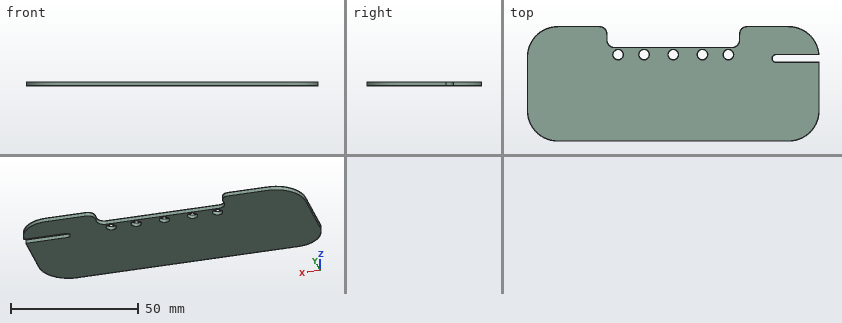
import cadquery as cq

length = 114.5
width = 45.0
thickness = 1.6
corner_radius = 12.0

notch_length = 52.0
notch_depth = 8.2
notch_radius = 3.0

hole_diameter = 4.0
hole_row_y = 11.5
inner_hole_x = 11.5
outer_hole_x = 21.6

slot_width = 3.0
slot_end_x = 38.8
slot_y = 10.0


def make_plate():
    plate = cq.Workplane("XY").box(length, width, thickness, centered=(True, True, False))
    return plate.edges("|Z").fillet(corner_radius)


def cut_notch(plate):
    """Cut the notch and round its four vertical edges."""
    floor_y = width / 2 - notch_depth
    cutter = (
        cq.Workplane("XY")
        .center(0, floor_y + notch_depth / 2)
        .rect(notch_length, notch_depth)
        .extrude(thickness)
    )
    margin = 1.1
    notch_edges = cq.selectors.BoxSelector(
        (-notch_length / 2 - margin, floor_y - margin, -margin),
        (notch_length / 2 + margin, width / 2 + margin, thickness + margin),
    )
    return plate.cut(cutter).edges("|Z").edges(notch_edges).fillet(notch_radius)


def make_holes():
    hole_positions = [
        (x, hole_row_y)
        for x in (-outer_hole_x, -inner_hole_x, 0, inner_hole_x, outer_hole_x)
    ]
    return cq.Workplane("XY").pushPoints(hole_positions).circle(hole_diameter / 2).extrude(thickness)


def make_slot():
    """Make a slot cutter whose outer round end lies fully beyond the plate."""
    outer_end_x = length / 2 + slot_width
    return (
        cq.Workplane("XY")
        .center((slot_end_x + outer_end_x) / 2, slot_y)
        .slot2D(outer_end_x - slot_end_x, slot_width)
        .extrude(thickness)
    )


result = cut_notch(make_plate()).cut(make_holes()).cut(make_slot())